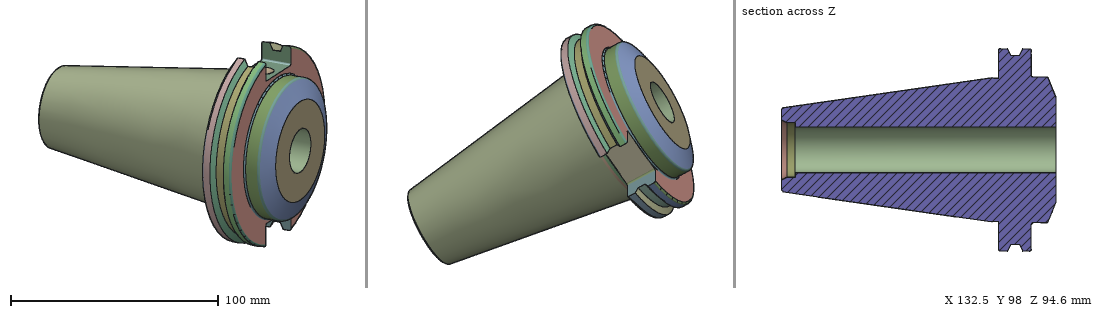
import cadquery as cq
import math

total_length = 132.5
taper_end = 101.5
neck_step = 102.7
flange_start = 104.7
flange_width = 15.9
flange_end = flange_start + flange_width
nose_start = 128.5

taper_small_radius = 20.3
taper_large_radius = 34.8
neck_radius = 69.3 / 2
flange_radius = 98.0 / 2
collar_radius = 70.5 / 2
nose_radius = 25.3
bore_radius = 22.0 / 2
counterbore_radius = 26.2 / 2
mouth_radius = 28.9 / 2

groove_center = 112.8
groove_floor_width = 4.0
groove_mouth_width = 7.3
groove_floor_radius = 45.7

small_end_chamfer = 0.8
flange_edge_round = 1.0
collar_root_round = 0.8
nose_edge_round = 1.3
counterbore_depth = 6.6
mouth_depth = 2.6

slot_width = 25.7
upper_slot_floor = 37.8
lower_slot_floor = 35.4
slot_root_round = 0.8
dimple_diameter = 9.5
dimple_point_angle = 118.0


def revolve_about_axis(points):
    """Revolve a closed (x, radius) outline about the X axis."""
    return cq.Workplane("XY").polyline(points).close().revolve(360, (0, 0, 0), (1, 0, 0))


def circles_at(x, radius):
    """Select circular edges at one axial position and radius."""
    margin = 0.01
    return cq.selectors.BoxSelector(
        (x - margin, -radius - margin, -radius - margin),
        (x + margin, radius + margin, radius + margin),
        boundingbox=True,
    )


def make_body():
    groove_floor_half = groove_floor_width / 2
    groove_mouth_half = groove_mouth_width / 2
    body = revolve_about_axis([
        (0, 0),
        (0, taper_small_radius),
        (taper_end, taper_large_radius),
        (neck_step, neck_radius),
        (flange_start, neck_radius),
        (flange_start, flange_radius),
        (groove_center - groove_mouth_half, flange_radius),
        (groove_center - groove_floor_half, groove_floor_radius),
        (groove_center + groove_floor_half, groove_floor_radius),
        (groove_center + groove_mouth_half, flange_radius),
        (flange_end, flange_radius),
        (flange_end, collar_radius),
        (nose_start, collar_radius),
        (total_length, nose_radius),
        (total_length, 0),
    ])
    body = body.edges(circles_at(0, taper_small_radius)).chamfer(small_end_chamfer)
    body = body.edges(circles_at(nose_start, collar_radius)).fillet(nose_edge_round)
    body = body.edges(circles_at(flange_end, collar_radius)).fillet(collar_root_round)
    for face_x in (flange_start, flange_end):
        rim = cq.selectors.SubtractSelector(
            circles_at(face_x, flange_radius), circles_at(face_x, collar_radius + collar_root_round)
        )
        body = body.edges(rim).fillet(flange_edge_round)
    return body


def make_bore():
    """Through bore with a counterbore and a tapered mouth at the small end."""
    return revolve_about_axis([
        (0, 0),
        (0, mouth_radius),
        (mouth_depth, counterbore_radius),
        (counterbore_depth, counterbore_radius),
        (counterbore_depth, bore_radius),
        (total_length, bore_radius),
        (total_length, 0),
    ])


def make_slot(floor_height, side):
    """Drive slot through the flange; side is +1 above the axis and -1 below."""
    depth = flange_radius - floor_height
    middle = side * (floor_height + depth / 2)
    slot = cq.Workplane("XY").box(flange_width, slot_width, depth)
    floor_side = "<Z" if side > 0 else ">Z"
    slot = slot.faces(floor_side).edges("|X").fillet(slot_root_round)
    return slot.translate((flange_start + flange_width / 2, 0, middle))


def make_dimple():
    radius = dimple_diameter / 2
    depth = radius / math.tan(math.radians(dimple_point_angle / 2))
    cone = cq.Solid.makeCone(
        radius, 0, depth, pnt=cq.Vector(groove_center, 0, upper_slot_floor), dir=cq.Vector(0, 0, -1)
    )
    return cq.Workplane(obj=cone)


result = (
    make_body()
    .cut(make_bore())
    .cut(make_slot(upper_slot_floor, 1))
    .cut(make_slot(lower_slot_floor, -1))
    .cut(make_dimple())
)